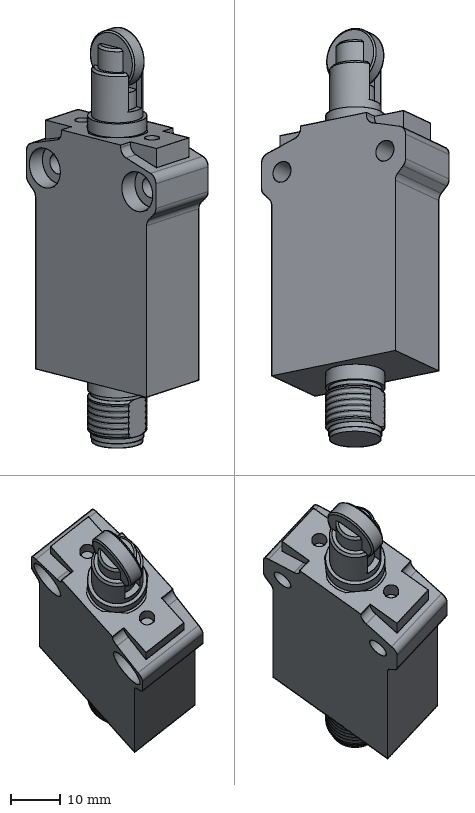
import cadquery as cq
import math


BODY_WIDTH = 30.0
BODY_THICKNESS = 16.0
BODY_HEIGHT = 51.9
OVERALL_HEIGHT = 87.0

EAR_SPAN = 35.0
NECK_HALF_WIDTH = 8.0
SHOULDER_DROP = 2.0
SHOULDER_ANGLE = 16.5
EAR_BOTTOM_DROP = 12.35
EAR_FILLET = 2.0
EAR_HOLE_SPACING = 25.0
EAR_HOLE_DROP = 9.0
EAR_HOLE_DIAMETER = 4.35
EAR_COUNTERBORE_DIAMETER = 8.35
EAR_COUNTERBORE_DEPTH = 4.0

PAD_THICKNESS = 10.0
PAD_DEPTH = 7.0
SCREW_HOLE_SPACING = 18.8
SCREW_HOLE_DIAMETER = 3.05
SCREW_HOLE_DEPTH = 4.0

CONNECTOR_LENGTH = 14.0
THREAD_RADIUS = 6.0
RELIEF_RADIUS = 5.4
TIP_RADIUS = 5.2
CONNECTOR_COLLAR_LENGTH = 3.1
UPPER_RELIEF_LENGTH = 0.9
THREAD_LENGTH = 8.0
TIP_LENGTH = 1.0
THREAD_FLAT_OFFSET = 5.4
GROOVE_COUNT = 6
GROOVE_PITCH = 1.2
GROOVE_WIDTH = 0.5
GROOVE_DEPTH = 0.1

FLANGE_RADIUS = 6.5
FLANGE_FLAT_OFFSET = 6.0
FLANGE_THICKNESS = 1.7
COLLAR_RADIUS = 6.0
COLLAR_HEIGHT = 2.9
SLEEVE_RADIUS = 5.2
SLEEVE_HEIGHT = 13.1
SLEEVE_SLOT_FLOOR = 5.0

PLUNGER_RADIUS = 3.9
PLUNGER_HEIGHT = 18.0
PLUNGER_SLOT_FLOOR = 8.6
ROLLER_SLOT_WIDTH = 4.0
RIM_CHAMFER = 0.5

ROLLER_RADIUS = 6.0
ROLLER_WIDTH = 3.6
ROLLER_CHAMFER = 0.35

ROLLER_TOP = OVERALL_HEIGHT - CONNECTOR_LENGTH
ROLLER_AXIS_HEIGHT = ROLLER_TOP - ROLLER_RADIUS
SEAT_HEIGHT = BODY_HEIGHT - FLANGE_THICKNESS


def upright_cylinder(radius, bottom, top):
    return cq.Workplane("XY").workplane(offset=bottom).circle(radius).extrude(top - bottom)


def roller_slot(floor):
    """Slot along X, open at the top, that gives the roller room."""
    return (
        cq.Workplane("XY")
        .workplane(offset=floor)
        .rect(4 * SLEEVE_RADIUS, ROLLER_SLOT_WIDTH)
        .extrude(ROLLER_TOP - floor)
    )


def flange():
    """Round disc with four flats at 45 degrees to the X axis, flush with the top of the housing."""
    square = (
        cq.Workplane("XY")
        .workplane(offset=SEAT_HEIGHT)
        .rect(2 * FLANGE_FLAT_OFFSET, 2 * FLANGE_FLAT_OFFSET)
        .extrude(FLANGE_THICKNESS)
        .rotate((0, 0, 0), (0, 0, 1), 45)
    )
    return upright_cylinder(FLANGE_RADIUS, SEAT_HEIGHT, BODY_HEIGHT).intersect(square)


def body_with_ears():
    """Housing body and ears through the full thickness, with rounded ear corners."""
    ear_x = EAR_SPAN / 2
    side_x = BODY_WIDTH / 2
    shoulder_z = BODY_HEIGHT - SHOULDER_DROP
    ear_top_z = shoulder_z - (ear_x - NECK_HALF_WIDTH) * math.tan(math.radians(SHOULDER_ANGLE))
    ear_bottom_z = BODY_HEIGHT - EAR_BOTTOM_DROP
    ear_root_z = ear_bottom_z - (ear_x - side_x)
    right_side = [
        (side_x, 0),
        (side_x, ear_root_z),
        (ear_x, ear_bottom_z),
        (ear_x, ear_top_z),
        (NECK_HALF_WIDTH, shoulder_z),
        (NECK_HALF_WIDTH, BODY_HEIGHT),
    ]
    left_side = [(-x, z) for x, z in reversed(right_side)]
    back_plane = cq.Workplane("XZ", origin=(0, BODY_THICKNESS / 2, 0))
    body = back_plane.polyline(right_side + left_side).close().extrude(BODY_THICKNESS)
    margin = SHOULDER_DROP / 2
    rounded_zone = cq.selectors.BoxSelector(
        (-EAR_SPAN, -BODY_THICKNESS, margin),
        (EAR_SPAN, BODY_THICKNESS, BODY_HEIGHT - margin),
    )
    return body.edges("|Y").edges(rounded_zone).fillet(EAR_FILLET)


def top_pad():
    return (
        cq.Workplane("XY")
        .workplane(offset=BODY_HEIGHT - PAD_DEPTH)
        .rect(BODY_WIDTH, PAD_THICKNESS)
        .extrude(PAD_DEPTH)
    )


def ear_holes():
    """Through holes along Y, counterbored from the -Y face."""
    front_y = -BODY_THICKNESS / 2
    cutters = cq.Workplane("XY")
    for side in (-1, 1):
        centre = (side * EAR_HOLE_SPACING / 2, front_y, BODY_HEIGHT - EAR_HOLE_DROP)
        plane = cq.Plane(origin=centre, xDir=(1, 0, 0), normal=(0, 1, 0))
        hole = cq.Workplane(plane).circle(EAR_HOLE_DIAMETER / 2).extrude(BODY_THICKNESS)
        counterbore = (
            cq.Workplane(plane).circle(EAR_COUNTERBORE_DIAMETER / 2).extrude(EAR_COUNTERBORE_DEPTH)
        )
        cutters = cutters.add(hole).add(counterbore)
    return cutters.combine()


def screw_holes():
    return (
        cq.Workplane("XY")
        .workplane(offset=BODY_HEIGHT)
        .pushPoints([(-SCREW_HOLE_SPACING / 2, 0), (SCREW_HOLE_SPACING / 2, 0)])
        .circle(SCREW_HOLE_DIAMETER / 2)
        .extrude(-SCREW_HOLE_DEPTH)
    )


def thread(top, bottom):
    """Ring-grooved stand-in for the thread, chamfered at both ends, with flats on +X and -X."""
    barrel = upright_cylinder(THREAD_RADIUS, bottom, top)
    barrel = barrel.faces("<Z or >Z").chamfer(RIM_CHAMFER)
    middle = (top + bottom) / 2
    for index in range(GROOVE_COUNT):
        groove_z = middle + (index - (GROOVE_COUNT - 1) / 2) * GROOVE_PITCH
        groove = (
            cq.Workplane("XZ")
            .polyline([
                (THREAD_RADIUS, groove_z - GROOVE_WIDTH / 2),
                (THREAD_RADIUS - GROOVE_DEPTH, groove_z),
                (THREAD_RADIUS, groove_z + GROOVE_WIDTH / 2),
            ])
            .close()
            .revolve(360, (0, 0, 0), (0, 1, 0))
        )
        barrel = barrel.cut(groove)
    between_flats = (
        cq.Workplane("XY")
        .workplane(offset=bottom)
        .rect(2 * THREAD_FLAT_OFFSET, 4 * THREAD_RADIUS)
        .extrude(top - bottom)
    )
    return barrel.intersect(between_flats)


def connector():
    """Collar, thread between two plain stretches, and a slightly thinner tip."""
    collar_bottom = -CONNECTOR_COLLAR_LENGTH
    thread_top = collar_bottom - UPPER_RELIEF_LENGTH
    thread_bottom = thread_top - THREAD_LENGTH
    tip_top = -CONNECTOR_LENGTH + TIP_LENGTH
    return (
        upright_cylinder(THREAD_RADIUS, collar_bottom, 0)
        .union(upright_cylinder(RELIEF_RADIUS, thread_top, collar_bottom))
        .union(thread(thread_top, thread_bottom))
        .union(upright_cylinder(RELIEF_RADIUS, tip_top, thread_bottom))
        .union(upright_cylinder(TIP_RADIUS, -CONNECTOR_LENGTH, tip_top))
    )


def make_housing():
    return (
        body_with_ears()
        .union(top_pad())
        .union(connector())
        .cut(ear_holes())
        .cut(screw_holes())
        .cut(flange())
    )


def make_sleeve():
    """Slotted tube with a collar and a flange that lies flush with the top of the housing."""
    sleeve_top = BODY_HEIGHT + SLEEVE_HEIGHT
    tube = upright_cylinder(SLEEVE_RADIUS, SEAT_HEIGHT, sleeve_top).faces(">Z").chamfer(RIM_CHAMFER)
    return (
        tube
        .union(upright_cylinder(COLLAR_RADIUS, BODY_HEIGHT, BODY_HEIGHT + COLLAR_HEIGHT))
        .union(flange())
        .cut(upright_cylinder(PLUNGER_RADIUS, SEAT_HEIGHT, sleeve_top))
        .cut(roller_slot(BODY_HEIGHT + SLEEVE_SLOT_FLOOR))
    )


def make_plunger():
    """Round rod that fills the bore of the sleeve and is forked at the top for the roller."""
    rod = upright_cylinder(PLUNGER_RADIUS, SEAT_HEIGHT, BODY_HEIGHT + PLUNGER_HEIGHT)
    rod = rod.faces(">Z").chamfer(RIM_CHAMFER)
    return rod.cut(roller_slot(BODY_HEIGHT + PLUNGER_SLOT_FLOOR))


def make_roller():
    """Disc turning about Y, chamfered on both rims."""
    return (
        cq.Workplane("XZ", origin=(0, ROLLER_WIDTH / 2, ROLLER_AXIS_HEIGHT))
        .circle(ROLLER_RADIUS)
        .extrude(ROLLER_WIDTH)
        .edges("%CIRCLE")
        .chamfer(ROLLER_CHAMFER)
    )


housing = make_housing()
sleeve = make_sleeve()
plunger = make_plunger()
roller = make_roller()

bodies = [housing, sleeve, plunger, roller]

result = cq.Compound.makeCompound([body.solids().val() for body in bodies])